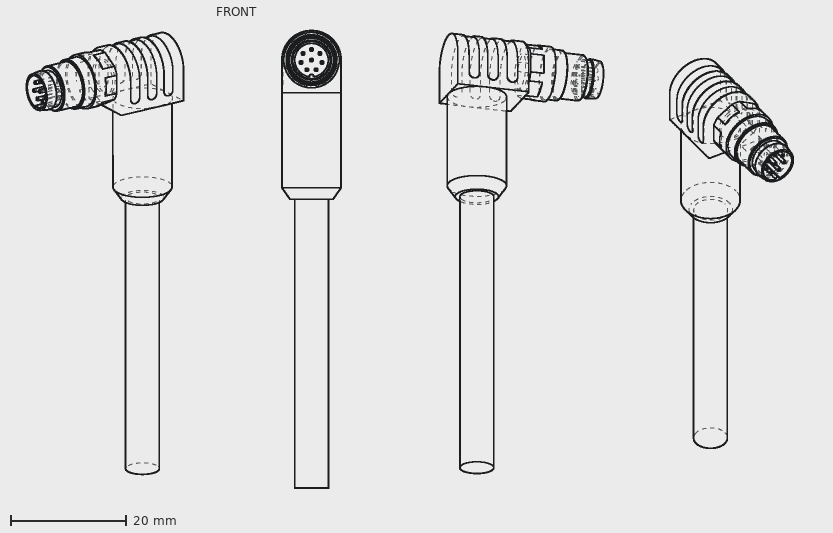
import cadquery as cq
import math


housing_width = 10.3
housing_radius = housing_width / 2
housing_length = 13.0
housing_drop = 5.65
front_edge_fillet = 0.2
back_y = housing_radius
housing_front_y = back_y - housing_length

recess_width = 1.9
recess_depth = 0.2
recess_edge_fillet = 0.15
recess_drop = 4.15
recess_distances = (3.05, 6.45, 10.0)

relief_diameter = 10.3
relief_tip_diameter = 7.5
relief_cone_length = 2.0
relief_bottom_z = -24.1
cable_diameter = 5.9
total_height = 79.3
cable_end_z = housing_radius - total_height

neck_diameter = 6.2
nut_start = 13.5
nut_diameter = 9.6
nut_end = 18.0
collar_diameter = 8.8
collar_end = 20.3
collar_chamfer = 0.15
sleeve_diameter = 8.0
sleeve_end = 24.2
sleeve_chamfer = 0.2
plug_diameter = 6.5
plug_end = 27.2
ridge_diameter = 6.9
ridge_start = 25.2
ridge_crest_start = 25.4
ridge_crest_end = 25.8

flat_count = 6
across_flats = 9.0
flat_length = 2.4

cavity_diameter = 5.8
cavity_depth = 4.0
cavity_floor_fillet = 0.2
pin_diameter = 0.6
pin_circle_radius = 1.85
outer_pin_count = 7
pin_length = 3.5
pin_tip_chamfer = 0.15
key_diameter = 0.7
key_offset = 2.8


def arch_prism(radius, drop, start_y, length):
    """Half-round top on straight sides, extruded along Y, centred on the connector axis."""
    return (
        cq.Workplane("XZ", origin=(0, start_y, 0))
        .moveTo(-radius, -drop)
        .lineTo(-radius, 0)
        .threePointArc((0, radius), (radius, 0))
        .lineTo(radius, -drop)
        .close()
        .extrude(length)
    )


def cylinder_y(diameter, start_y, length):
    """Cylinder on the connector axis, running from start_y toward -Y."""
    return cq.Workplane("XZ", origin=(0, start_y, 0)).circle(diameter / 2).extrude(length)


def make_recess(distance):
    """Round-ended slot footprint seen along X, limited to the skin of the housing."""
    end_radius = recess_width / 2
    centre_y = back_y - distance
    straight_bottom = end_radius - recess_drop
    left = centre_y - end_radius
    right = centre_y + end_radius
    footprint = (
        cq.Workplane("YZ", origin=(-housing_width, 0, 0))
        .moveTo(left, housing_width)
        .lineTo(left, straight_bottom)
        .threePointArc((centre_y, -recess_drop), (right, straight_bottom))
        .lineTo(right, housing_width)
        .close()
        .extrude(2 * housing_width)
    )
    core = arch_prism(housing_radius - recess_depth, housing_drop, back_y, housing_length)
    return footprint.cut(core)


def round_recess_rims(housing):
    """Round the recess edges that lie on the outer skin of the housing."""
    skin_tolerance = recess_depth / 4
    rims = []
    for edge in housing.edges().vals():
        middle = edge.positionAt(0.5)
        skin_distance = math.hypot(middle.x, max(middle.z, 0))
        on_skin = abs(skin_distance - housing_radius) < skin_tolerance
        beside_recess = any(
            abs(back_y - distance - middle.y) < recess_width / 2 + skin_tolerance
            for distance in recess_distances
        )
        along_y = edge.geomType() == "LINE" and abs(edge.tangentAt(0.5).y) > 0.5
        if on_skin and beside_recess and not along_y:
            rims.append(edge)
    return housing.newObject(rims).fillet(recess_edge_fillet)


def make_housing():
    housing = arch_prism(housing_radius, housing_drop, back_y, housing_length)
    front_edges = housing.faces("<Y").edges("not <Z")
    housing = front_edges.fillet(front_edge_fillet)
    for distance in recess_distances:
        housing = housing.cut(make_recess(distance))
    return round_recess_rims(housing)


def make_cable():
    """Strain relief with a conical tip, and the cable leaving it downward."""
    relief_radius = relief_diameter / 2
    cone_top_z = relief_bottom_z + relief_cone_length
    return (
        cq.Workplane("XZ")
        .moveTo(0, -housing_drop)
        .lineTo(relief_radius, -housing_drop)
        .lineTo(relief_radius, cone_top_z)
        .lineTo(relief_tip_diameter / 2, relief_bottom_z)
        .lineTo(cable_diameter / 2, relief_bottom_z)
        .lineTo(cable_diameter / 2, cable_end_z)
        .lineTo(0, cable_end_z)
        .close()
        .revolve(360, (0, 0, 0), (0, 1, 0))
    )


def make_barrel():
    """Turned connector body, described as (diameter, station) corners."""
    corners = [
        (neck_diameter, housing_length),
        (neck_diameter, nut_start),
        (nut_diameter, nut_start),
        (nut_diameter, nut_end),
        (collar_diameter, nut_end),
        (collar_diameter, collar_end - collar_chamfer),
        (collar_diameter - 2 * collar_chamfer, collar_end),
        (sleeve_diameter, collar_end),
        (sleeve_diameter, sleeve_end - sleeve_chamfer),
        (sleeve_diameter - 2 * sleeve_chamfer, sleeve_end),
        (plug_diameter, sleeve_end),
        (plug_diameter, ridge_start),
        (ridge_diameter, ridge_crest_start),
        (ridge_diameter, ridge_crest_end),
        (plug_diameter, plug_end),
    ]
    outline = cq.Workplane("XY").moveTo(0, housing_front_y)
    for diameter, station in corners:
        outline = outline.lineTo(diameter / 2, back_y - station)
    return (
        outline.lineTo(0, back_y - plug_end)
        .close()
        .revolve(360, (0, 0, 0), (0, 1, 0))
    )


def cut_wrench_flats(barrel):
    start_y = back_y - nut_start
    thickness = nut_diameter - across_flats
    flat_cutter = cq.Workplane("XY").box(thickness, flat_length, nut_diameter).translate(
        ((across_flats + thickness) / 2, start_y - flat_length / 2, 0)
    )
    for i in range(flat_count):
        barrel = barrel.cut(flat_cutter.rotate((0, 0, 0), (0, 1, 0), i * 360 / flat_count))
    return barrel


def make_pins(floor_y):
    """One centre pin and a ring of pins, the first of the ring straight up."""
    places = [(0, 0)]
    for i in range(outer_pin_count):
        angle = math.pi / 2 + 2 * math.pi * i / outer_pin_count
        places.append((pin_circle_radius * math.cos(angle), pin_circle_radius * math.sin(angle)))
    return (
        cq.Workplane("XZ", origin=(0, floor_y, 0))
        .pushPoints(places)
        .circle(pin_diameter / 2)
        .extrude(pin_length)
        .faces("<Y")
        .chamfer(pin_tip_chamfer)
    )


def make_key(floor_y):
    """Round polarising rib along the bottom of the cavity, partly sunk into its wall."""
    return (
        cq.Workplane("XZ", origin=(0, floor_y, 0))
        .center(0, -key_offset)
        .circle(key_diameter / 2)
        .extrude(cavity_depth)
    )


def make_connector():
    floor_y = back_y - plug_end + cavity_depth
    barrel = cut_wrench_flats(make_barrel())
    cavity = cylinder_y(cavity_diameter, floor_y, cavity_depth)
    cavity = cavity.faces(">Y").edges().fillet(cavity_floor_fillet)
    return barrel.cut(cavity).union(make_pins(floor_y)).union(make_key(floor_y))


result = make_housing().union(make_cable()).union(make_connector())